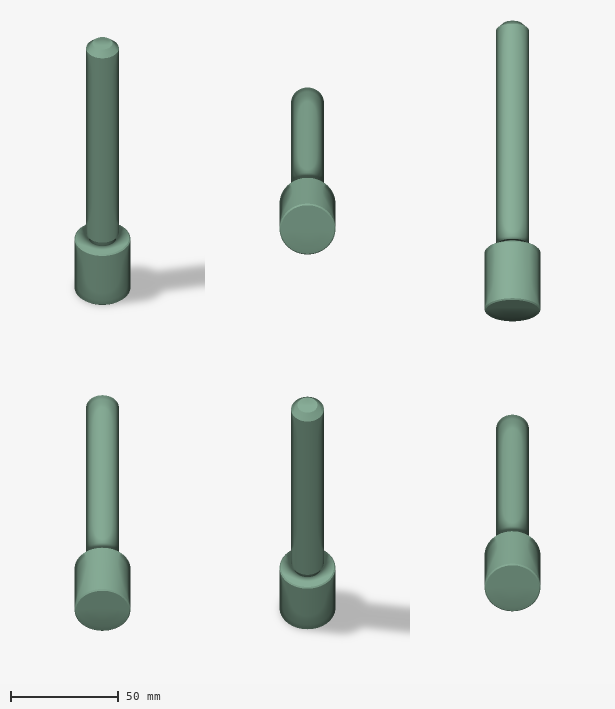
import cadquery as cq

total_length = 145.0
head_diameter = 26.0
head_height = 30.0
head_chamfer = 0.6

neck_diameter = 12.8
neck_height = 3.0

shank_diameter = 15.2
tip_diameter = 9.3
tip_height = 2.9

neck_top = head_height + neck_height
tip_base = total_length - tip_height


def cylinder(diameter, height, base_z):
    """Solid cylinder standing on the Z axis from base_z upward."""
    return cq.Workplane("XY").workplane(offset=base_z).circle(diameter / 2).extrude(height)


head = cylinder(head_diameter, head_height, 0).edges().chamfer(head_chamfer)

neck = cylinder(neck_diameter, neck_height, head_height)

shank = cylinder(shank_diameter, tip_base - neck_top, neck_top)
tip = cq.Workplane(
    cq.Solid.makeCone(shank_diameter / 2, tip_diameter / 2, tip_height, pnt=cq.Vector(0, 0, tip_base))
)

result = head.union(neck).union(shank).union(tip)